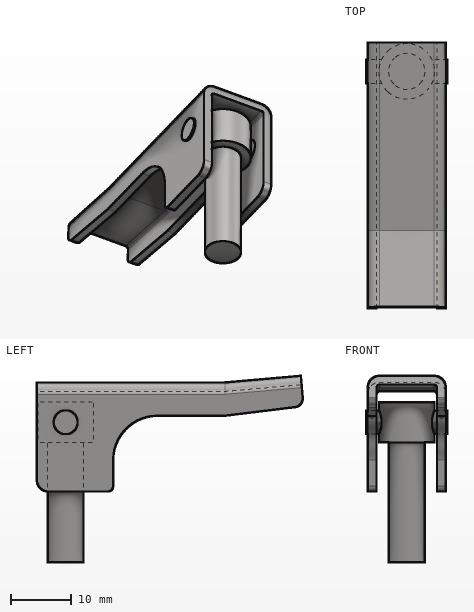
import cadquery as cq
import math


lever_width = 13.0
sheet = 1.5
outer_bend_radius = 2.0
inner_bend_radius = outer_bend_radius - sheet
roof_z = 6.65
back_y = 4.8
knee_y = -26.45
tip_top_z = 7.75
handle_angle = math.radians(5)

leg_front_y = -7.9
leg_bottom_z = -11.55
leg_back_radius = 2.0
leg_front_radius = 0.97
arm_bottom_z = 1.05
throat_radius = 7.35
underside_angle = math.radians(7)
tip_radius = 1.5

pin_diameter = 4.0
pin_span = 13.58
head_diameter = 9.25
head_height = 6.68
shank_diameter = 6.0
shank_bottom_z = -23.25

handle_run = (tip_top_z - roof_z) / math.tan(handle_angle)
tip_top_y = knee_y - handle_run
underside_z_at_tip = arm_bottom_z + handle_run * math.tan(underside_angle)
tip_depth = (tip_top_z - underside_z_at_tip) / (
    math.cos(handle_angle) + math.sin(handle_angle) * math.tan(underside_angle)
)
tip_bottom_y = tip_top_y - tip_depth * math.sin(handle_angle)
tip_bottom_z = tip_top_z - tip_depth * math.cos(handle_angle)


def x_edges_at(y, z):
    """Select the straight edges along X that pass through a point (y, z)."""
    reach = lever_width
    margin = 0.02
    return cq.selectors.BoxSelector(
        (-reach, y - margin, z - margin), (reach, y + margin, z + margin)
    )


def make_lever_block():
    """Solid lever outline, with every corner of the side walls rounded."""
    block = (
        cq.Workplane("YZ")
        .polyline([
            (back_y, roof_z),
            (knee_y, roof_z),
            (tip_top_y, tip_top_z),
            (tip_bottom_y, tip_bottom_z),
            (knee_y, arm_bottom_z),
            (leg_front_y, arm_bottom_z),
            (leg_front_y, leg_bottom_z),
            (back_y, leg_bottom_z),
        ])
        .close()
        .extrude(lever_width / 2, both=True)
    )
    rounded_corners = [
        (leg_front_y, arm_bottom_z, throat_radius),
        (leg_front_y, leg_bottom_z, leg_front_radius),
        (back_y, leg_bottom_z, leg_back_radius),
        (tip_bottom_y, tip_bottom_z, tip_radius),
    ]
    for y, z, radius in rounded_corners:
        block = block.edges(x_edges_at(y, z)).fillet(radius)
    return block


def roof_prism(width, drop, bend_radius):
    """Prism under the roof lowered by drop, longer and deeper than the lever, upper long edges rounded."""
    overrun = 4.4
    bottom_z = leg_bottom_z - overrun
    bend_y = knee_y - drop * math.tan(handle_angle / 2)
    bend_z = roof_z - drop
    front_y = tip_top_y - overrun
    front_z = bend_z + (bend_y - front_y) * math.tan(handle_angle)
    prism = (
        cq.Workplane("YZ")
        .polyline([
            (back_y + overrun, bend_z),
            (bend_y, bend_z),
            (front_y, front_z),
            (front_y, bottom_z),
            (back_y + overrun, bottom_z),
        ])
        .close()
        .extrude(width / 2, both=True)
    )
    side_edges = cq.selectors.BoxSelector(
        (-width, front_y - overrun, bend_z - sheet), (width, back_y + 2 * overrun, front_z + sheet)
    )
    return prism.edges(side_edges).edges("not (|X or |Z)").fillet(bend_radius)


def make_lever():
    outside = roof_prism(lever_width, 0, outer_bend_radius)
    inside = roof_prism(lever_width - 2 * sheet, sheet, inner_bend_radius)
    pin_hole = cq.Workplane("YZ").circle(pin_diameter / 2).extrude(lever_width, both=True)
    return make_lever_block().intersect(outside).cut(inside).cut(pin_hole)


def make_stud():
    head = cq.Workplane("XY").circle(head_diameter / 2).extrude(head_height / 2, both=True)
    shank = cq.Workplane("XY").circle(shank_diameter / 2).extrude(shank_bottom_z)
    pins = cq.Workplane("YZ").circle(pin_diameter / 2).extrude(pin_span / 2, both=True)
    return head.union(shank).union(pins)


lever = make_lever()
stud = make_stud()

result = cq.Compound.makeCompound([lever.val(), stud.val()])